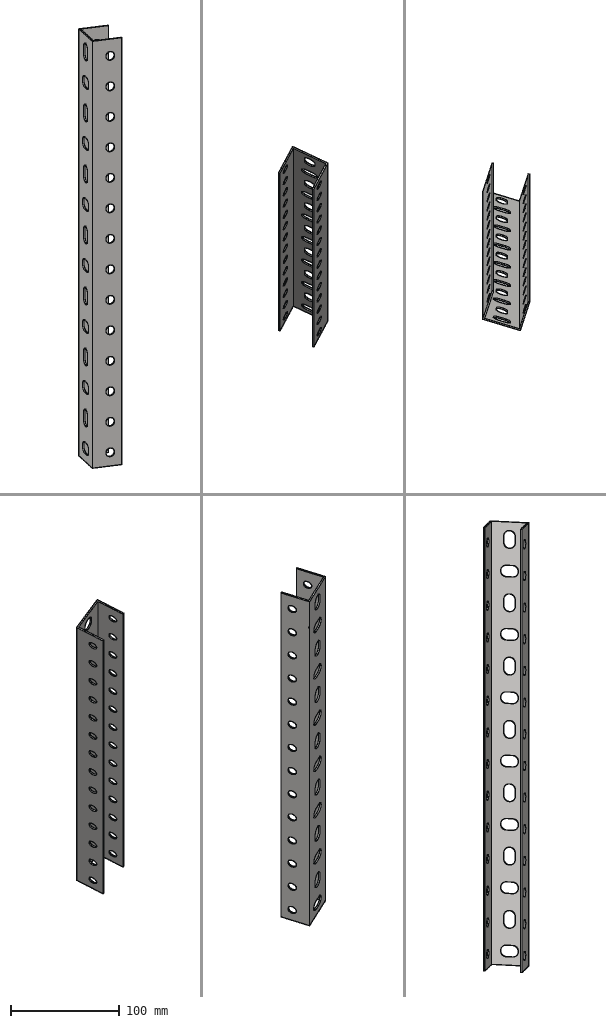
import cadquery as cq

length = 420.0
width = 36.5
depth = 29.0
thickness = 1.5

row_count = 14
pitch = length / row_count
lowest_row = 13.5

slot_length = 17.0
slot_width = 11.0

hole_diameter = 8.5
hole_from_web = 17.5

row_heights = [lowest_row + row * pitch for row in range(row_count)]


def make_channel():
    """Thin U-section with the web on the -Y side and the flanges pointing to +Y."""
    outside = cq.Workplane("XY").rect(width, depth).extrude(length)
    inside = (
        cq.Workplane("XY")
        .center(0, thickness)
        .rect(width - 2 * thickness, depth)
        .extrude(length)
    )
    return outside.cut(inside)


def make_slot(row):
    """Slot cutter through the web for one row; even rows are horizontal, odd rows vertical."""
    angle = 90 * (row % 2)
    return (
        cq.Workplane("XZ", origin=(0, 0, row_heights[row]))
        .slot2D(slot_length, slot_width, angle)
        .extrude(depth)
    )


def make_flange_holes():
    """Round cutters running along X through both flanges, one per row."""
    hole_y = hole_from_web - depth / 2
    centers = [(hole_y, height) for height in row_heights]
    return (
        cq.Workplane("YZ")
        .pushPoints(centers)
        .circle(hole_diameter / 2)
        .extrude(width / 2, both=True)
    )


channel = make_channel()
for row in range(row_count):
    channel = channel.cut(make_slot(row))

result = channel.cut(make_flange_holes())